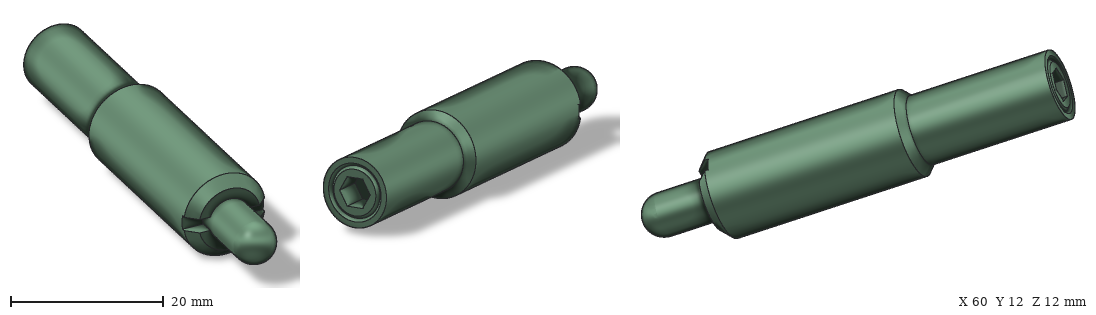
import cadquery as cq

total_length = 60.0
shank_length = 20.0
body_end = 50.0

shank_diameter = 9.6
body_diameter = 12.0
pin_diameter = 6.0
rear_chamfer = (body_diameter - shank_diameter) / 2
front_chamfer = 1.5

slot_width = 2.0
slot_depth = 2.0

groove_outer_diameter = 8.0
screw_face_diameter = 6.35
groove_depth = (groove_outer_diameter - screw_face_diameter) / 4
hex_across_flats = 4.0
hex_depth = 4.0

hex_across_corners = hex_across_flats * 2 / 3 ** 0.5


def cylinder(diameter, start, end):
    """Cylinder about the X axis between two stations."""
    return cq.Workplane("YZ", origin=(start, 0, 0)).circle(diameter / 2).extrude(end - start)


def make_shank():
    return cylinder(shank_diameter, 0, shank_length)


def make_body():
    """Main barrel, chamfered at both ends and slotted along Y at the front."""
    body = cylinder(body_diameter, shank_length, body_end)
    body = body.faces("<X").chamfer(rear_chamfer)
    body = body.faces(">X").chamfer(front_chamfer)
    slot = cq.Workplane("XY").box(2 * slot_depth, body_diameter, slot_width)
    return body.cut(slot.translate((body_end, 0, 0)))


def make_pin():
    """Front pin with a hemispherical tip, running back to the slot floor."""
    tip_center = total_length - pin_diameter / 2
    pin = cylinder(pin_diameter, body_end - slot_depth, tip_center)
    tip = cq.Workplane("XY").sphere(pin_diameter / 2).translate((tip_center, 0, 0))
    return pin.union(tip)


def make_groove():
    """Ring of triangular section around the set screw face."""
    outer = groove_outer_diameter / 2
    inner = screw_face_diameter / 2
    section = cq.Workplane("XY").polyline([(0, inner), (0, outer), (groove_depth, (inner + outer) / 2)])
    return section.close().revolve(360, (0, 0, 0), (1, 0, 0))


def make_hex_socket():
    """Hexagonal key socket with corners on the Y axis."""
    return cq.Workplane("YZ").polygon(6, hex_across_corners).extrude(hex_depth)


part = make_shank().union(make_body()).union(make_pin())
part = part.cut(make_groove()).cut(make_hex_socket())

result = part.translate((-total_length / 2, 0, 0))